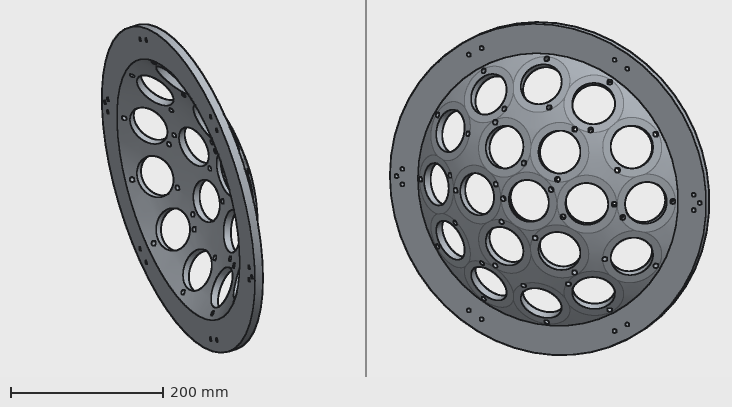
import cadquery as cq
import math

flange_radius = 223.0
flange_thickness = 12.0
overall_height = 82.0

outer_sphere_radius = 267.0
inner_sphere_radius = 255.0
seat_radius = 39.2
flat_distance = math.sqrt(outer_sphere_radius**2 - seat_radius**2)
sphere_center_y = overall_height - flat_distance

port_rings = [(0.0, 1), (17.0, 6), (34.0, 12)]
port_radius = 28.0
port_screw_circle_radius = 36.0
port_screw_angles = [0.0, -150.0]
screw_radius = 3.35
seat_cutter_margin = 1.0
port_cutter_depth = 26.8

counterbore_radius = 29.5
counterbore_ledge = 5.0

flange_hole_radius = 2.5
pair_count = 6
pair_circle_radius = 205.5
pair_half_angle = 2.9
single_hole_distance = 213.5


def sphere_half_width(sphere_radius, y):
    """Radius of the circle where the plane at height y slices the sphere."""
    return math.sqrt(sphere_radius**2 - (y - sphere_center_y) ** 2)


def sphere_point(sphere_radius, y):
    return (sphere_half_width(sphere_radius, y), y)


def make_body():
    """Flange and spherical shell, revolved together about the Y axis."""
    outer_pole_y = sphere_center_y + outer_sphere_radius
    inner_pole_y = sphere_center_y + inner_sphere_radius
    return (
        cq.Workplane("XY")
        .moveTo(*sphere_point(inner_sphere_radius, 0))
        .lineTo(flange_radius, 0)
        .lineTo(flange_radius, flange_thickness)
        .lineTo(*sphere_point(outer_sphere_radius, flange_thickness))
        .threePointArc(
            sphere_point(outer_sphere_radius, (flange_thickness + outer_pole_y) / 2),
            (0, outer_pole_y),
        )
        .lineTo(0, inner_pole_y)
        .threePointArc(
            sphere_point(inner_sphere_radius, inner_pole_y / 2),
            sphere_point(inner_sphere_radius, 0),
        )
        .close()
        .revolve(360, (0, 0, 0), (0, 1, 0))
    )


def seat_plane(tilt, azimuth):
    """Plane of a flat seat: normal away from the sphere centre, local x away from the pole."""
    t = math.radians(tilt)
    a = math.radians(azimuth)
    normal = cq.Vector(math.sin(t) * math.cos(a), math.cos(t), math.sin(t) * math.sin(a))
    away_from_pole = cq.Vector(math.cos(t) * math.cos(a), -math.sin(t), math.cos(t) * math.sin(a))
    origin = cq.Vector(0, sphere_center_y, 0) + normal * flat_distance
    return cq.Plane(origin=origin, xDir=away_from_pole, normal=normal)


def polar_point(radius, angle):
    a = math.radians(angle)
    return (radius * math.cos(a), radius * math.sin(a))


def cut_port(body, plane):
    """Flat seat on the sphere, a large round opening and its two screw holes."""
    seat_height = 2 * (outer_sphere_radius - flat_distance)
    seat = cq.Workplane(plane).circle(seat_radius + seat_cutter_margin).extrude(seat_height)
    opening = cq.Workplane(plane).circle(port_radius).extrude(-port_cutter_depth)
    screw_points = [polar_point(port_screw_circle_radius, angle) for angle in port_screw_angles]
    screws = (
        cq.Workplane(plane)
        .pushPoints(screw_points)
        .circle(screw_radius)
        .extrude(-port_cutter_depth)
    )
    return body.cut(seat).cut(opening).cut(screws)


def cut_pole_counterbore(body):
    counterbore = (
        cq.Workplane(seat_plane(0, 0))
        .workplane(offset=-counterbore_ledge)
        .circle(counterbore_radius)
        .extrude(-port_cutter_depth)
    )
    return body.cut(counterbore)


def cut_flange_holes(body):
    points = [(-single_hole_distance, 0), (single_hole_distance, 0)]
    for i in range(pair_count):
        pair_angle = i * 360 / pair_count
        for offset in (-pair_half_angle, pair_half_angle):
            points.append(polar_point(pair_circle_radius, pair_angle + offset))
    holes = cq.Workplane("XZ").pushPoints(points).circle(flange_hole_radius).extrude(-flange_thickness)
    return body.cut(holes)


result = cut_flange_holes(make_body())
for ring_tilt, port_count in port_rings:
    for port in range(port_count):
        result = cut_port(result, seat_plane(ring_tilt, port * 360 / port_count))
result = cut_pole_counterbore(result)